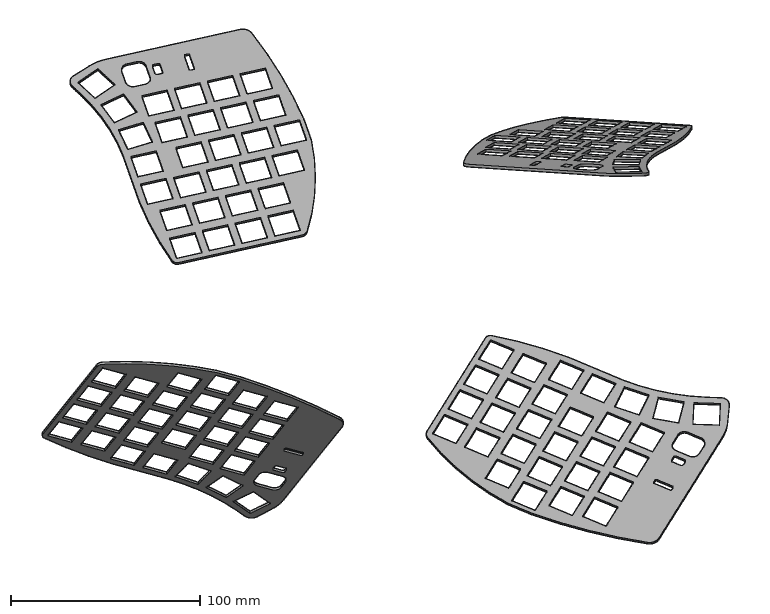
import cadquery as cq

length = 140.8
thickness = 1.5
left = -length / 2
right = length / 2

top_left = (left, 44.0)
top_right = (right, 36.6)
bottom_right = (right, -35.8)
bottom_left = (-62.5, -57.9)
left_knee = (left, -38.9)

crest_y = 56.3
crest_start = (-3.1, crest_y)
crest_end = (10.8, crest_y)
foot_y = -42.4
foot_start = (-6.8, foot_y)
foot_end = (25.2, foot_y)
thumb_arc_start = (-51.5, -52.8)
top_left_arc_mid = (-45.6, 50.4)
top_right_arc_mid = (50.1, 46.6)
bottom_right_arc_mid = (53.4, -39.4)
thumb_arc_mid = (-37.5, -47.5)

rounded_corners = [
    (top_left, 5.8),
    (top_right, 4.0),
    (bottom_right, 3.1),
    (bottom_left, 4.5),
    (left_knee, 24.6),
]

key_size = 14.0
column_pitch = 19.0
row_pitch = 18.0
row_count = 4
first_column_x = -34.9
column_top_y = [38.9, 40.8, 46.9, 40.4, 27.5, 27.5]
corner_key_shift = 0.3

straight_thumb_y = -31.7
straight_thumb_x = 2.5
thumb_keys = [
    (-56.2, -43.1, 25),
    (-37.0, -36.0, 15),
    (-17.0, -32.5, 5),
    (straight_thumb_x, straight_thumb_y, 0),
    (straight_thumb_x + column_pitch, straight_thumb_y, 0),
]

side_openings = [
    (-56.7, 8.2, 10.7, 2.8, 0.5),
    (-56.7, -9.3, 6.9, 4.2, 1.0),
    (-56.6, -21.3, 15.6, 13.4, 4.0),
]


def make_plate():
    """Flat plate with its outer corners rounded."""
    plate = (
        cq.Workplane("XY")
        .moveTo(*top_left)
        .threePointArc(top_left_arc_mid, crest_start)
        .lineTo(*crest_end)
        .threePointArc(top_right_arc_mid, top_right)
        .lineTo(*bottom_right)
        .threePointArc(bottom_right_arc_mid, foot_end)
        .lineTo(*foot_start)
        .threePointArc(thumb_arc_mid, thumb_arc_start)
        .lineTo(*bottom_left)
        .lineTo(*left_knee)
        .close()
        .extrude(thickness)
    )
    for (x, y), radius in rounded_corners:
        corner_edge = cq.selectors.NearestToPointSelector((x, y, thickness / 2))
        plate = plate.edges("|Z").edges(corner_edge).fillet(radius)
    return plate


def opening(x, y, width, height, angle=0):
    """Rectangular cutter through the full thickness, turned about its centre."""
    return (
        cq.Workplane("XY")
        .rect(width, height)
        .extrude(thickness)
        .rotate((0, 0, 0), (0, 0, 1), angle)
        .translate((x, y, 0))
    )


def grid_key_centres():
    """Centres of the column keys, column by column from the top."""
    centres = []
    last_column = len(column_top_y) - 1
    for column, top_y in enumerate(column_top_y):
        for row in range(row_count):
            x = first_column_x + column * column_pitch
            if column == last_column and row == row_count - 1:
                x += corner_key_shift
            centres.append((x, top_y - row * row_pitch))
    return centres


result = make_plate()

for x, y in grid_key_centres():
    result = result.cut(opening(x, y, key_size, key_size))

for x, y, angle in thumb_keys:
    result = result.cut(opening(x, y, key_size, key_size, angle))

for x, y, width, height, radius in side_openings:
    result = result.cut(opening(x, y, width, height).edges("|Z").fillet(radius))